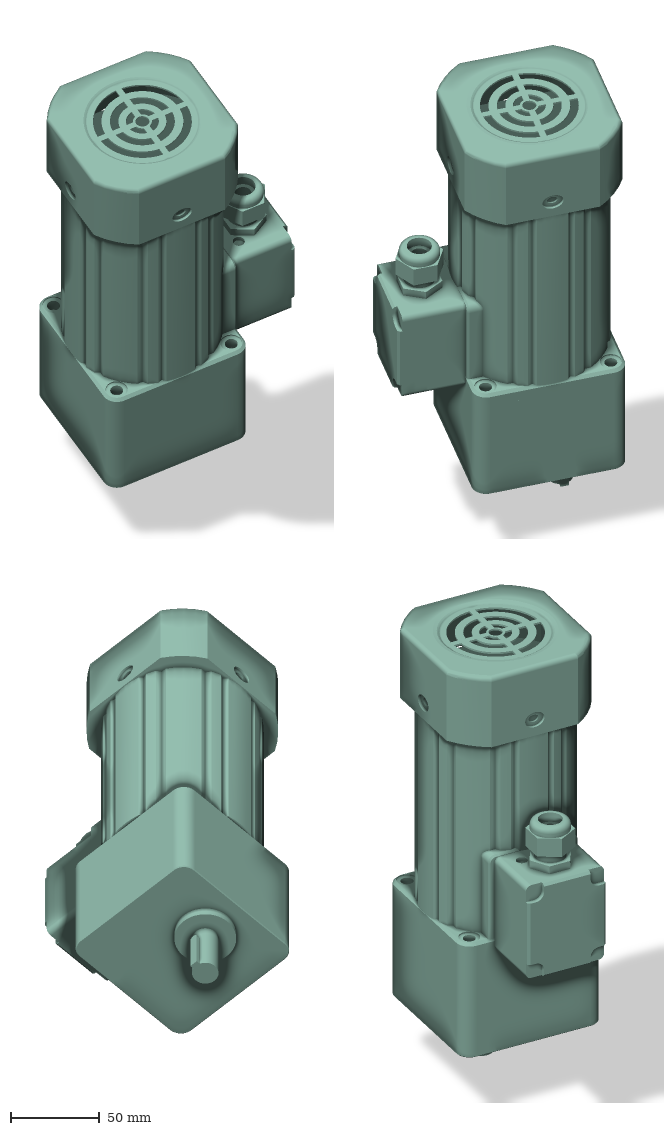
import cadquery as cq
import math

gear_side = 90.0
gear_corner_radius = 8.5
gear_bottom_z = 37.0
gear_top_z = 102.7
gear_bottom_chamfer = 0.5

shaft_y = -18.0
boss_radius = 17.5
boss_bottom_z = 31.5
shaft_radius = 15.0 / 2

key_width = 5.0
key_top_z = 25.3
key_reach = 9.5
key_seat = 4.5

flange_top_z = 111.0
flange_edge_chamfer = 1.7
bolt_offset = 37.0
bolt_hole_radius = 3.7
bolt_seat_radius = 6.2
bolt_seat_depth = 0.8

motor_radius = 46.0
motor_top_z = 236.5
grooves = ((14.5, 5.0), (28.7, 6.2))
groove_depth = 1.7

cover_side = 93.0
cover_corner_radius = 54.0
cover_top_z = 281.5
cover_edge_fillet = 2.8

cover_wall = 2.8
cover_roof = 2.3
shield_top_z = 248.3

dish_radius = 35.5
dish_step_radius = 33.2
dish_floor_radius = 31.8
dish_step_depth = 0.3
dish_depth = 1.0
grille_rings = ((23.0, 28.0), (13.5, 18.3), (5.3, 9.3))
grille_hub_radius = 4.0
grille_bar = 3.7

screw_z = 247.0
screw_recess_radii = (6.2, 4.8)
screw_recess_depth = 1.7
screw_hole_radii = (3.0, 2.3)

box_width = 50.0
box_bottom_z = 103.0
box_top_z = 163.3
box_inner_y = 45.0
box_outer_y = 82.2
box_edge_fillet = 3.5
box_top_hole = (13.0, 55.0)
box_top_hole_radius = 3.5
box_top_hole_depth = 2.8

lid_outer_y = 85.0
lid_edge_chamfer = 1.5
lid_notch = 10.0
lid_notch_radius = 5.3

gland_y = 64.7
gland_base_flats = 23.0
gland_base_height = 5.0
gland_neck_radius = 9.3
gland_neck_height = 5.5
gland_nut_corners = 28.2
gland_nut_height = 11.8
gland_cap_height = 6.0
gland_cap_radius = 23.5 / 2
gland_cap_fillet = 3.5
gland_bore_radius = 4.8
gland_mouth_radius = 7.0

pad_width = 57.5
pad_top_z = 164.7
pad_top_fillet = 4.5
pad_face_chamfer = 1.0


def disc(radius, bottom_z, top_z):
    """Upright cylinder on the motor axis."""
    return cq.Workplane("XY").workplane(offset=bottom_z).circle(radius).extrude(top_z - bottom_z)


def square_block(side, bottom_z, top_z):
    """Upright square prism on the motor axis."""
    return cq.Workplane("XY").workplane(offset=bottom_z).rect(side, side).extrude(top_z - bottom_z)


def rounded_block(bottom_z, top_z):
    """Square block with rounded corners, the outline shared by the gearbox and the motor flange."""
    return square_block(gear_side, bottom_z, top_z).edges("|Z").fillet(gear_corner_radius)


def cover_block(inset, top_z):
    """Square block with arc corners, standing on the barrel, set in from the cover's outer side."""
    block = square_block(cover_side - 2 * inset, motor_top_z, top_z)
    return block.intersect(disc(cover_corner_radius - inset, motor_top_z, top_z))


def make_key():
    round_z = key_top_z - key_width / 2
    half = key_width / 2
    return (
        cq.Workplane("YZ").workplane(offset=-key_reach)
        .moveTo(-half, 0)
        .lineTo(-half, round_z)
        .threePointArc((0, key_top_z), (half, round_z))
        .lineTo(half, 0)
        .close()
        .extrude(key_reach - key_seat)
        .translate((0, shaft_y, 0))
    )


def make_gearbox():
    housing = rounded_block(gear_bottom_z, gear_top_z)
    housing = housing.faces("<Z").edges().chamfer(gear_bottom_chamfer)
    boss = disc(boss_radius, boss_bottom_z, gear_bottom_z)
    shaft = disc(shaft_radius, 0, gear_bottom_z)
    output = boss.union(shaft).translate((0, shaft_y, 0))
    return housing.union(output).cut(make_key())


def make_flange():
    flange = rounded_block(gear_top_z, flange_top_z)
    flange = flange.faces(">Z").edges().chamfer(flange_edge_chamfer)
    return (
        flange.faces(">Z").workplane(origin=(0, 0, flange_top_z))
        .rect(2 * bolt_offset, 2 * bolt_offset, forConstruction=True).vertices()
        .cboreHole(2 * bolt_hole_radius, 2 * bolt_seat_radius, bolt_seat_depth)
    )


def make_groove(width):
    """V-shaped cutter on the +X side; its sides run on past the barrel surface to twice the width."""
    bottom = motor_radius - groove_depth
    rim = motor_radius + groove_depth
    return (
        cq.Workplane("XY").workplane(offset=flange_top_z)
        .polyline([(bottom, 0), (rim, width), (rim, -width)]).close()
        .extrude(motor_top_z - flange_top_z)
    )


def make_barrel():
    barrel = disc(motor_radius, flange_top_z, motor_top_z)
    for angle, width in grooves:
        groove = make_groove(width)
        for quarter in range(4):
            for side in (-1, 1):
                turn = 90 * quarter + side * angle
                barrel = barrel.cut(groove.rotate((0, 0, 0), (0, 0, 1), turn))
    return barrel


def make_pad():
    pad = cq.Workplane("XY").box(
        pad_width, box_inner_y, pad_top_z - flange_top_z, centered=(True, False, False)
    )
    pad = pad.edges("|Y and >Z").fillet(pad_top_fillet)
    pad = pad.faces(">Y").edges("not <Z").chamfer(pad_face_chamfer)
    return pad.translate((0, 0, flange_top_z))


def make_motor():
    end_shield = cover_block(cover_wall, shield_top_z)
    return make_flange().union(make_barrel()).union(make_pad()).union(end_shield)


def oval_hole(radii, depth):
    """Oval cutter that enters the cover's front face."""
    return (
        cq.Workplane("XZ").workplane(offset=cover_side / 2 - depth).center(0, screw_z)
        .ellipse(*radii).extrude(depth)
    )


def make_grille():
    """Quarter-ring slots and the hub hole, as one cutting tool."""
    floor_z = cover_top_z - cover_roof
    bars = cq.Workplane("XY").workplane(offset=floor_z).rect(cover_side, grille_bar).extrude(cover_roof)
    bars = bars.union(bars.rotate((0, 0, 0), (0, 0, 1), 90))
    openings = disc(grille_hub_radius, floor_z, cover_top_z)
    for inner, outer in grille_rings:
        ring = disc(outer, floor_z, cover_top_z).cut(disc(inner, floor_z, cover_top_z))
        openings = openings.union(ring.cut(bars))
    return openings


def make_dish():
    """Shallow slope from the rim, then a steeper wall down to the grille."""
    return (
        cq.Workplane("XZ")
        .polyline([
            (0, cover_top_z),
            (dish_radius, cover_top_z),
            (dish_step_radius, cover_top_z - dish_step_depth),
            (dish_floor_radius, cover_top_z - dish_depth),
            (0, cover_top_z - dish_depth),
        ]).close()
        .revolve(360, (0, 0, 0), (0, 1, 0))
    )


def make_cover():
    cover = cover_block(0, cover_top_z)
    cover = cover.faces(">Z").edges().fillet(cover_edge_fillet)
    cover = cover.cut(cover_block(cover_wall, cover_top_z - cover_roof))
    cover = cover.cut(make_dish()).cut(make_grille())
    screw_cutter = oval_hole(screw_recess_radii, screw_recess_depth)
    screw_cutter = screw_cutter.union(oval_hole(screw_hole_radii, cover_wall))
    for quarter in range(4):
        cover = cover.cut(screw_cutter.rotate((0, 0, 0), (0, 0, 1), 90 * quarter))
    return cover


def make_box():
    box_height = box_top_z - box_bottom_z
    mid_z = (box_bottom_z + box_top_z) / 2
    body = (
        cq.Workplane("XZ").workplane(offset=-box_outer_y).center(0, mid_z)
        .rect(box_width, box_height).extrude(box_outer_y - box_inner_y)
        .edges("|Y").fillet(box_edge_fillet)
    )
    lid = (
        cq.Workplane("XZ").workplane(offset=-lid_outer_y).center(0, mid_z)
        .rect(box_width, box_height).extrude(lid_outer_y - box_outer_y)
        .faces(">Y").edges().chamfer(lid_edge_chamfer)
    )
    notches = (
        cq.Workplane("XZ").workplane(offset=-lid_outer_y).center(0, mid_z)
        .rect(box_width, box_height, forConstruction=True).vertices()
        .rect(2 * lid_notch, 2 * lid_notch).extrude(lid_outer_y - box_outer_y)
        .edges("|Y").fillet(lid_notch_radius)
    )
    hole = (
        cq.Workplane("XY").workplane(offset=box_top_z - box_top_hole_depth)
        .center(*box_top_hole).circle(box_top_hole_radius).extrude(box_top_hole_depth)
    )
    barrel_recess = disc(motor_radius, flange_top_z, box_top_z)
    return body.union(lid.cut(notches)).cut(hole).cut(barrel_recess)


def make_gland():
    base_z = box_top_z
    neck_z = base_z + gland_base_height
    nut_z = neck_z + gland_neck_height
    cap_z = nut_z + gland_nut_height
    cap_top_z = cap_z + gland_cap_height
    base = (
        cq.Workplane("XY").workplane(offset=base_z)
        .polygon(6, gland_base_flats / math.cos(math.pi / 6)).extrude(gland_base_height)
    )
    nut = (
        cq.Workplane("XY").workplane(offset=nut_z).polygon(6, gland_nut_corners)
        .extrude(gland_nut_height).rotate((0, 0, 0), (0, 0, 1), 90)
    )
    cap = disc(gland_cap_radius, cap_z, cap_top_z).faces(">Z").edges().fillet(gland_cap_fillet)
    gland = base.union(disc(gland_neck_radius, neck_z, nut_z)).union(nut).union(cap)
    gland = gland.cut(disc(gland_bore_radius, base_z, cap_top_z))
    gland = gland.cut(disc(gland_mouth_radius, cap_z, cap_top_z))
    return gland.translate((0, gland_y, 0))


key = make_key()
gearbox = make_gearbox()
motor = make_motor()
cover = make_cover()
terminal_box = make_box()
gland = make_gland()

bodies = [key, gearbox, motor, cover, terminal_box, gland]
result = cq.Compound.makeCompound([body.solids().val() for body in bodies])